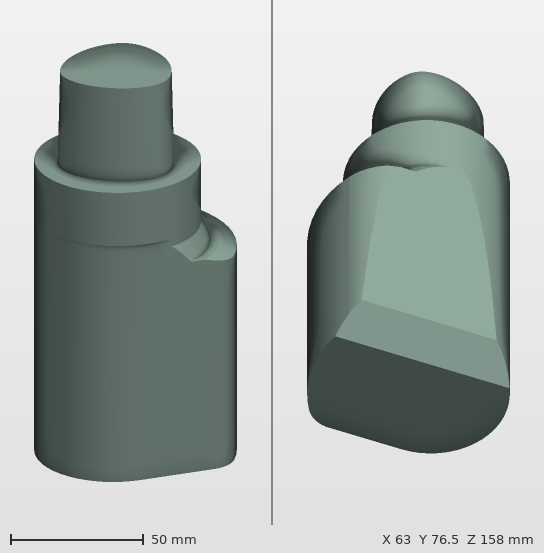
import cadquery as cq
import math

SHANK_HEIGHT = 38.0
BODY_DEPTH = 120.0

SHANK_WIDTH = 44.0
SHANK_TAPER = 1 / 20
LOBE_AMPLITUDE = 1.3
SHANK_POINTS = 36

FLANGE_RADIUS = 62.98 / 2
FLANGE_HEIGHT = 22.0
SKIRT_DEPTH = 25.4
SKIRT_EDGE_X = 2.6

BACK_RADIUS = 45.0
RIGHT_SIDE_X = 29.5
FRONT_CORNER_RADIUS = 29.8
RIGHT_REAR_FILLET = 12.0
LEFT_REAR_FILLET = 19.5

LEDGE_INNER_RADIUS = 35.0
LEDGE_OUTER_RADIUS = 38.3
LEDGE_DEPTH = 33.0
RIM_SLOPE = 20.0

FLAT_TOP_DEPTH = 24.0
FLAT_ANGLE = 4.0
BOTTOM_CHAMFER_X = -14.2


def shank_outline(width, height):
    """Constant-width three-lobed curve with one lobe pointing to -Y."""
    points = []
    for step in range(SHANK_POINTS):
        turn = 2 * math.pi * step / SHANK_POINTS
        reach = width / 2 + LOBE_AMPLITUDE * math.cos(3 * turn)
        slide = -3 * LOBE_AMPLITUDE * math.sin(3 * turn)
        direction = turn - math.pi / 2
        x = reach * math.cos(direction) - slide * math.sin(direction)
        y = reach * math.sin(direction) + slide * math.cos(direction)
        points.append(cq.Vector(x, y, height))
    return cq.Wire.assembleEdges([cq.Edge.makeSpline(points, periodic=True)])


def make_shank():
    top_width = SHANK_WIDTH - SHANK_TAPER * SHANK_HEIGHT
    base = shank_outline(SHANK_WIDTH, 0)
    top = shank_outline(top_width, SHANK_HEIGHT)
    return cq.Workplane(cq.Solid.makeLoft([base, top]))


def make_flange():
    ring = cq.Workplane().circle(FLANGE_RADIUS).extrude(-SKIRT_DEPTH)
    clearance = (
        cq.Workplane()
        .box(2 * FLANGE_RADIUS, 4 * FLANGE_RADIUS, SKIRT_DEPTH, centered=(False, True, False))
        .translate((SKIRT_EDGE_X, 0, -FLANGE_HEIGHT - SKIRT_DEPTH))
    )
    return ring.cut(clearance)


def rear_corner(side_x, fillet):
    """Start, middle and end of the fillet from a side at +side_x to the rear arc."""
    centre_x = side_x - fillet
    centre_y = math.sqrt((BACK_RADIUS - fillet) ** 2 - centre_x ** 2)
    end_angle = math.atan2(centre_y, centre_x)
    arc_points = []
    for angle in (0, end_angle / 2, end_angle):
        x = centre_x + fillet * math.cos(angle)
        y = centre_y + fillet * math.sin(angle)
        arc_points.append((x, y))
    return arc_points


def make_body_prism():
    diagonal = math.sqrt(0.5)
    front_x = RIGHT_SIDE_X - FRONT_CORNER_RADIUS
    front_y = -math.sqrt(FLANGE_RADIUS ** 2 - front_x ** 2)
    corner_y = front_y + FRONT_CORNER_RADIUS
    corner_middle = (
        front_x + FRONT_CORNER_RADIUS * diagonal,
        corner_y - FRONT_CORNER_RADIUS * diagonal,
    )
    right_start, right_middle, right_end = rear_corner(RIGHT_SIDE_X, RIGHT_REAR_FILLET)
    left_corner = rear_corner(FLANGE_RADIUS, LEFT_REAR_FILLET)
    left_end, left_middle, left_start = [(-x, y) for x, y in left_corner]
    outline = (
        cq.Workplane()
        .moveTo(front_x, front_y)
        .threePointArc(corner_middle, (RIGHT_SIDE_X, corner_y))
        .lineTo(*right_start)
        .threePointArc(right_middle, right_end)
        .threePointArc((0, BACK_RADIUS), left_start)
        .threePointArc(left_middle, left_end)
        .lineTo(-FLANGE_RADIUS, 0)
        .threePointArc((-FLANGE_RADIUS * diagonal, -FLANGE_RADIUS * diagonal), (front_x, front_y))
        .close()
    )
    return outline.extrude(-BODY_DEPTH)


def make_turned_envelope():
    """Body of revolution that limits the top of the rear lobe."""
    rim_fall = (BACK_RADIUS - LEDGE_OUTER_RADIUS) * math.tan(math.radians(RIM_SLOPE))
    profile = [
        (0, -FLANGE_HEIGHT),
        (FLANGE_RADIUS, -FLANGE_HEIGHT),
        (FLANGE_RADIUS, -SKIRT_DEPTH),
        (LEDGE_INNER_RADIUS, -LEDGE_DEPTH),
        (LEDGE_OUTER_RADIUS, -LEDGE_DEPTH),
        (BACK_RADIUS, -LEDGE_DEPTH - rim_fall),
        (BACK_RADIUS, -BODY_DEPTH),
        (0, -BODY_DEPTH),
    ]
    return cq.Workplane("XZ").polyline(profile).close().revolve(360, (0, 0), (0, 1))


def make_side_cutter():
    """Waste outside the inclined flat and the bottom chamfer."""
    lean = math.tan(math.radians(FLAT_ANGLE))
    flat_x_at_end = -FLANGE_RADIUS + lean * (BODY_DEPTH - FLAT_TOP_DEPTH)
    chamfer_height = (BOTTOM_CHAMFER_X - flat_x_at_end) / (1 - lean)
    outer_x = -2 * FLANGE_RADIUS
    profile = [
        (-FLANGE_RADIUS, -FLAT_TOP_DEPTH),
        (BOTTOM_CHAMFER_X - chamfer_height, -BODY_DEPTH + chamfer_height),
        (BOTTOM_CHAMFER_X, -BODY_DEPTH),
        (outer_x, -BODY_DEPTH),
        (outer_x, -FLAT_TOP_DEPTH),
    ]
    return cq.Workplane("XZ").polyline(profile).close().extrude(2 * BACK_RADIUS, both=True)


body = make_body_prism().intersect(make_turned_envelope())
result = make_flange().union(body).cut(make_side_cutter()).union(make_shank())